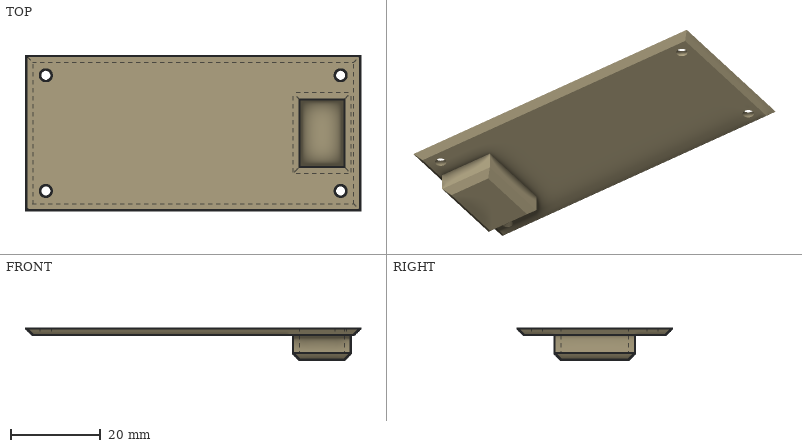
import cadquery as cq

length = 74.5
width = 34.5
height = 7.0
wall = 1.5

hole_diameter = 2.5
hole_x = 32.85
hole_y = 12.9

pocket_x = 28.7
pocket_length = 10.0
pocket_width = 15.05

boss_length = pocket_length + 2 * wall
boss_width = pocket_width + 2 * wall
pocket_depth = height - wall


def block(size_x, size_y, size_z, center_x=0.0):
    """Block whose top face lies on the plate's top plane, z = 0."""
    return (
        cq.Workplane("XY")
        .center(center_x, 0)
        .rect(size_x, size_y)
        .extrude(-size_z)
    )


plate = (
    cq.Workplane("XY")
    .rect(length, width)
    .workplane(offset=-wall)
    .rect(length - 2 * wall, width - 2 * wall)
    .loft(ruled=True)
)

boss = block(boss_length, boss_width, height, pocket_x).faces("<Z").chamfer(wall)

pocket = block(pocket_length, pocket_width, pocket_depth, pocket_x)

holes = (
    cq.Workplane("XY")
    .rect(2 * hole_x, 2 * hole_y, forConstruction=True)
    .vertices()
    .circle(hole_diameter / 2)
    .extrude(-wall)
)

result = plate.union(boss).cut(pocket).cut(holes)